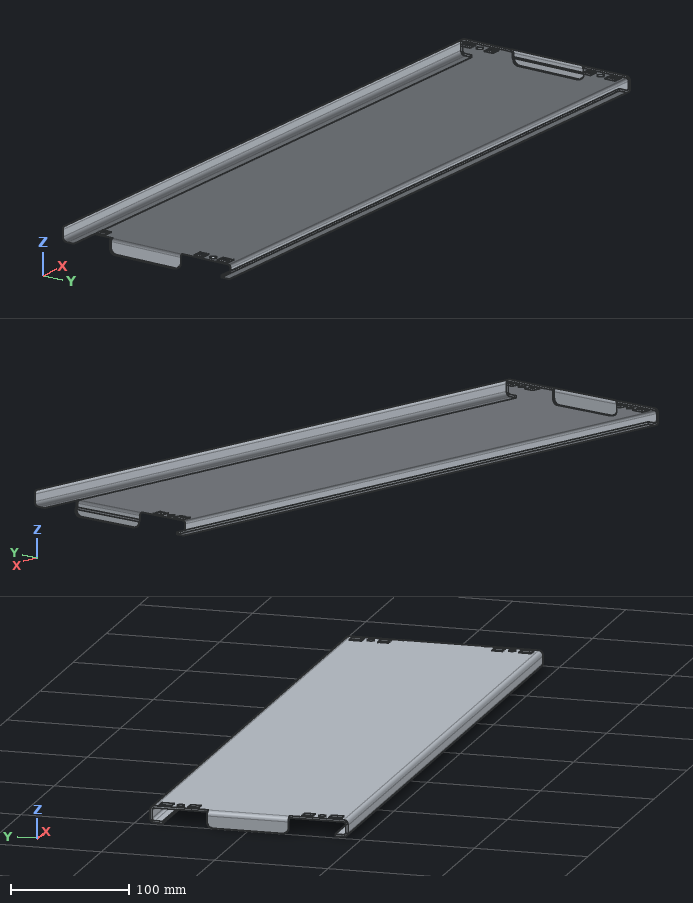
import cadquery as cq

length = 599.0
width = 175.0
height = 15.0

sheet = 2.0
bend_radius = 4.0
lip_length = 11.5

tab_width = 72.0
tab_corner = 5.5
joggle = 1.0
joggle_top = 7.0
joggle_bottom = 5.5

hole_edge_gap = 8.0
square_size = 9.0
square_y = 50.5
round_diameter = 6.0
round_y = 62.0
slot_height = 11.0
slot_y = 75.0

panel_start = -length / 2 + bend_radius
panel_end = length / 2 - joggle - bend_radius
panel_length = panel_end - panel_start
panel_middle = (panel_start + panel_end) / 2
inner_radius = bend_radius - sheet
floor = height - sheet


def make_panel():
    """Panel with both long edges folded down and returned inward."""
    outer = cq.Workplane("XY").box(panel_length, width, height, centered=(True, True, False))
    outer = outer.edges("|X").fillet(bend_radius)
    cavity = cq.Workplane("XY").box(
        panel_length, width - 2 * sheet, height - 2 * sheet, centered=(True, True, False)
    )
    cavity = cavity.edges("|X").fillet(inner_radius).translate((0, 0, sheet))
    opening = cq.Workplane("XY").box(
        panel_length, width - 2 * lip_length, height / 2, centered=(True, True, False)
    )
    return outer.cut(cavity).cut(opening).translate((panel_middle, 0, 0))


def start_tab(edge, side):
    """Begin a tab section at a panel end and follow the outside of its bend."""
    bend = cq.Workplane("XZ", origin=(edge, tab_width / 2, 0)).moveTo(0, floor).lineTo(0, height)
    return bend.radiusArc((side * bend_radius, height - bend_radius), side * bend_radius)


def finish_tab(section, side):
    """Close the section around the inside of its bend, extrude and round the lower corners."""
    section = section.lineTo(side * inner_radius, height - bend_radius)
    section = section.radiusArc((0, floor), -side * inner_radius).close()
    tab = section.extrude(tab_width)
    outline = cq.Workplane("XY").box(length, tab_width, height, centered=(True, True, False))
    return tab.intersect(outline.edges("|X and <Z").fillet(tab_corner))


def make_straight_tab():
    section = start_tab(panel_start, -1)
    section = section.lineTo(-bend_radius, 0).lineTo(-inner_radius, 0)
    return finish_tab(section, -1)


def make_joggled_tab():
    section = start_tab(panel_end, 1)
    section = section.lineTo(bend_radius, joggle_top)
    section = section.lineTo(bend_radius + joggle, joggle_bottom)
    section = section.lineTo(bend_radius + joggle, 0)
    section = section.lineTo(inner_radius + joggle, 0)
    section = section.lineTo(inner_radius + joggle, joggle_bottom)
    section = section.lineTo(inner_radius, joggle_top)
    return finish_tab(section, 1)


def make_corner_holes(x, side):
    """Square, round and tall holes at one corner, through the panel only."""
    plane = cq.Workplane("XY", origin=(x, 0, height))
    square = plane.center(0, side * square_y).rect(square_size, square_size).extrude(-height / 2)
    bore = plane.center(0, side * round_y).circle(round_diameter / 2).extrude(-height / 2)
    slot = plane.center(0, side * slot_y).rect(square_size, slot_height).extrude(-height / 2)
    return square.union(bore).union(slot)


result = make_panel().union(make_straight_tab()).union(make_joggled_tab())
for hole_x in (panel_start + hole_edge_gap, panel_end - hole_edge_gap):
    for side in (-1, 1):
        result = result.cut(make_corner_holes(hole_x, side))